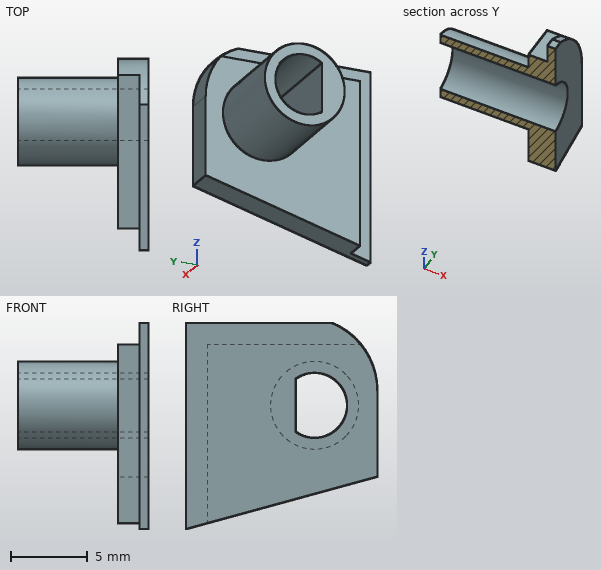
import cadquery as cq
import math

plate_width = 12.45
plate_height = 13.42
flange_thickness = 0.6
step_thickness = 1.4
step_inset = 1.41
corner_radius = 4.79
corner_tangent_height = 8.99
slope_rise = 3.41

sleeve_length = 6.5
sleeve_radius = 2.86
bore_radius = 2.11
bore_flat_offset = 1.22
sleeve_y = 8.36
sleeve_z = 8.05

body_thickness = flange_thickness + step_thickness
total_length = body_thickness + sleeve_length
corner_center_y = plate_width - corner_radius


def corner_y(height):
    """Y of the rounded corner at a height above its tangent point."""
    return corner_center_y + math.sqrt(corner_radius**2 - (height - corner_tangent_height) ** 2)


def plate(thickness, inset):
    """Plate from X = 0 toward -X, inset at the top and the -Y side."""
    top = plate_height - inset
    bottom = slope_rise * inset / plate_width
    middle_angle = math.asin((top - corner_tangent_height) / corner_radius) / 2
    arc_middle = (
        corner_center_y + corner_radius * math.cos(middle_angle),
        corner_tangent_height + corner_radius * math.sin(middle_angle),
    )
    return (
        cq.Workplane("YZ")
        .moveTo(inset, bottom)
        .lineTo(plate_width, slope_rise)
        .lineTo(plate_width, corner_tangent_height)
        .threePointArc(arc_middle, (corner_y(top), top))
        .lineTo(inset, top)
        .close()
        .extrude(-thickness)
    )


def cylinder(radius, length):
    """Cylinder on the sleeve axis, from X = 0 toward -X."""
    return cq.Workplane("YZ").center(sleeve_y, sleeve_z).circle(radius).extrude(-length)


def d_bore():
    """Round bore cut off by a flat on its -Y side."""
    kept_width = bore_radius + bore_flat_offset
    kept_side = (
        cq.Workplane("YZ")
        .center(sleeve_y - bore_flat_offset + kept_width / 2, sleeve_z)
        .rect(kept_width, 2 * bore_radius)
        .extrude(-total_length)
    )
    return cylinder(bore_radius, total_length).intersect(kept_side)


body = plate(flange_thickness, 0).union(plate(body_thickness, step_inset))
result = body.union(cylinder(sleeve_radius, total_length)).cut(d_bore())